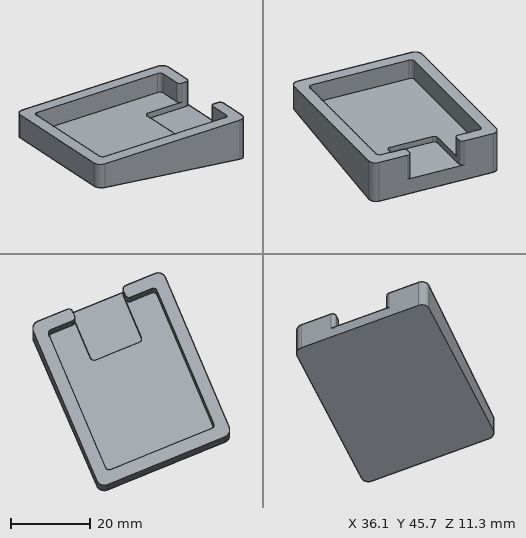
import cadquery as cq

width = 36.15
length = 45.7
back_height = 11.35
front_height = 6.6
outer_radius = 2.0

wall = 3.3
pocket_depth = 5.4
pocket_radius = 1.0

notch_width = 13.9
notch_length = 13.8
notch_depth = 7.0
notch_corner_radius = 1.0
lip_radius = 1.0


def make_body():
    """Wedge with rounded vertical corners."""
    profile = [
        (-length / 2, 0),
        (length / 2, 0),
        (length / 2, -back_height),
        (-length / 2, -front_height),
    ]
    wedge = cq.Workplane("YZ").polyline(profile).close().extrude(width / 2, both=True)
    return wedge.edges("|Z").fillet(outer_radius)


def make_pocket():
    """Rounded rectangular cutter for the tray."""
    return (
        cq.Workplane("XY")
        .rect(width - 2 * wall, length - 2 * wall)
        .extrude(-pocket_depth)
        .edges("|Z")
        .fillet(pocket_radius)
    )


def make_notch():
    """Cutter for the back opening, rounded at its inner end."""
    return (
        cq.Workplane("XY")
        .center(0, (length - notch_length) / 2)
        .rect(notch_width, notch_length)
        .extrude(-notch_depth)
        .edges("|Z and <Y")
        .fillet(notch_corner_radius)
    )


def make_lip_rounding(side, corner_y, into_wall, depth):
    """Cutter that rounds one vertical corner of the wall end on one side of the notch."""
    corner_x = side * notch_width / 2
    center_x = corner_x + side * lip_radius
    center_y = corner_y + into_wall * lip_radius
    square = (
        cq.Workplane("XY")
        .center((corner_x + center_x) / 2, (corner_y + center_y) / 2)
        .rect(lip_radius, lip_radius)
        .extrude(-depth)
    )
    post = cq.Workplane("XY").center(center_x, center_y).circle(lip_radius).extrude(-depth)
    return square.cut(post)


result = make_body().cut(make_pocket()).cut(make_notch())
for side in (-1, 1):
    result = result.cut(make_lip_rounding(side, length / 2, -1, notch_depth))
    result = result.cut(make_lip_rounding(side, length / 2 - wall, 1, pocket_depth))